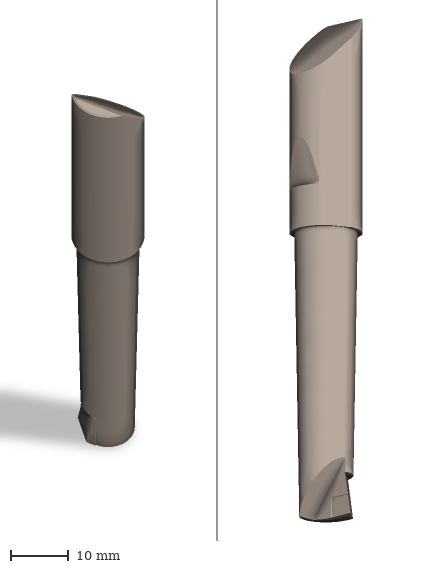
import cadquery as cq
import math

total_height = 88.9
shank_diameter = 12.7
shank_radius = shank_diameter / 2
neck_height = 50.8
neck_top_radius = 5.5
neck_taper = 1.0
end_rise = 0.45
neck_tip_radius = neck_top_radius - (neck_height - end_rise) * math.tan(math.radians(neck_taper))

rim_chamfer = 0.3
bevel_edge_y = -4.45
flat_edge_y = 4.2
notch_top = 66.85
notch_floor = 58.1
notch_depth = 1.25
notch_corner_radius = 0.6

flank_height = 7.6
flank_lean = 1.3
cutting_edge_x = -6.0
heel_x = -1.9
heel_y = -4.8
edge_rise = 0.13
rake_step_depth = 0.2
rake_step_height = 3.6
rake_step_inner_x = -1.25
gullet_top = 10.05
gullet_foot_x = 3.3

margin = 4.45


def make_shank():
    """Round shank with a rim chamfer, a bevelled top, a side flat and a clamping notch."""
    shank = (
        cq.Workplane("XY", origin=(0, 0, neck_height))
        .circle(shank_radius)
        .extrude(total_height - neck_height)
        .faces(">Z")
        .chamfer(rim_chamfer)
    )
    return shank.cut(make_bevel()).cut(make_side_flat()).cut(make_notch())


def extrude_along_x(outline):
    """Extrude a YZ outline across the full width of the part."""
    return outline.extrude(shank_radius + margin, both=True)


def make_bevel():
    """Wedge above the 45 degree bevel that falls toward +Y."""
    outer_y = shank_radius + margin
    run = outer_y - bevel_edge_y
    corners = [(bevel_edge_y, total_height), (outer_y, total_height - run), (outer_y, total_height)]
    outline = cq.Workplane("YZ").polyline(corners).close()
    return extrude_along_x(outline)


def make_side_flat():
    """Sliver outside the chord that forms the flat on the -X side of the shank."""
    chord_x = -math.sqrt(shank_radius**2 - flat_edge_y**2)
    return (
        cq.Workplane("XY", origin=(0, 0, neck_height))
        .moveTo(-shank_radius, 0)
        .lineTo(chord_x, flat_edge_y)
        .lineTo(-shank_radius, flat_edge_y)
        .close()
        .extrude(total_height - neck_height)
    )


def make_notch():
    """Sloping notch on the +Y side, deepest at its rounded lower corner."""
    floor_y = shank_radius - notch_depth
    slope = notch_depth / (notch_top - notch_floor)
    outer_y = shank_radius + margin
    corners = [
        (floor_y, notch_floor),
        (outer_y, notch_floor),
        (outer_y, notch_top + margin / slope),
    ]
    notch = extrude_along_x(cq.Workplane("YZ").polyline(corners).close())
    return notch.edges("|X").edges("<Y").fillet(notch_corner_radius)


def make_neck():
    """Tapered neck with a shallow conical end."""
    return (
        cq.Workplane("XZ")
        .polyline(
            [
                (0, 0),
                (neck_tip_radius, end_rise),
                (neck_top_radius, neck_height),
                (0, neck_height),
            ]
        )
        .close()
        .revolve(360, (0, 0, 0), (0, 1, 0))
    )


def make_flank_pocket():
    """Space outside the leaning flank, ending in a ledge square to the flank."""
    top_edge = cq.Vector(heel_x - cutting_edge_x, heel_y, 0)
    lean = cq.Vector(-flank_lean, 0, -flank_height)
    outward = lean.cross(top_edge)
    top_corner = cq.Vector(cutting_edge_x + flank_lean, 0, flank_height)
    flank = cq.Plane(top_corner, xDir=top_edge, normal=outward)
    reach = flank_height + margin
    below_edge = flank.yDir * -reach
    return cq.Workplane(flank).rect(2 * reach, 2 * reach).extrude(margin).translate(below_edge)


def make_cutter():
    """Cutting head in the -X -Y quarter: a leaning flank and a relieved end face."""

    def section(z, shift):
        """Corners of the head at height z, with its outer edge shifted along X."""
        return [
            cq.Vector(0, 0, z),
            cq.Vector(cutting_edge_x + shift, 0, z),
            cq.Vector(heel_x + shift, heel_y, z),
            cq.Vector(0, heel_y, z),
        ]

    slope = flank_lean / flank_height
    wires = [
        cq.Wire.makePolygon(section(-margin, -margin * slope), close=True),
        cq.Wire.makePolygon(section(flank_height, flank_lean), close=True),
    ]
    return cq.Workplane(cq.Solid.makeLoft(wires, True)).cut(make_end_relief())


def make_end_relief():
    """Half-space below the plane through the tip, the cutting corner and the heel."""
    corner = cq.Vector(cutting_edge_x, 0, edge_rise)
    heel = cq.Vector(0, heel_y, end_rise)
    down = heel.cross(corner)
    size = 4 * shank_radius
    return cq.Workplane(cq.Plane((0, 0, 0), normal=down)).rect(size, size).extrude(2 * margin)


def make_gullet():
    """Chip space on the +Y side of the rake face, closed by a slanting wall."""
    runout_x = -neck_tip_radius - (gullet_top - end_rise) * math.tan(math.radians(neck_taper))
    wall_slope = (gullet_foot_x - runout_x) / gullet_top
    outer_x = -shank_radius - margin
    top = (gullet_foot_x - outer_x) / wall_slope
    return (
        cq.Workplane("XZ")
        .polyline(
            [
                (gullet_foot_x + margin * wall_slope, -margin),
                (outer_x, top),
                (outer_x, -margin),
            ]
        )
        .close()
        .extrude(-shank_radius)
    )


def make_rake_step():
    """Shallow step ground into the rake face behind the outer cutting corner."""
    length = rake_step_inner_x - cutting_edge_x + margin
    return (
        cq.Workplane("XY")
        .box(length, rake_step_depth, rake_step_height + margin, centered=False)
        .translate((rake_step_inner_x - length, -rake_step_depth, -margin))
    )


neck = make_neck().union(make_cutter())
for pocket in (make_flank_pocket(), make_gullet(), make_rake_step()):
    neck = neck.cut(pocket)

result = make_shank().union(neck)